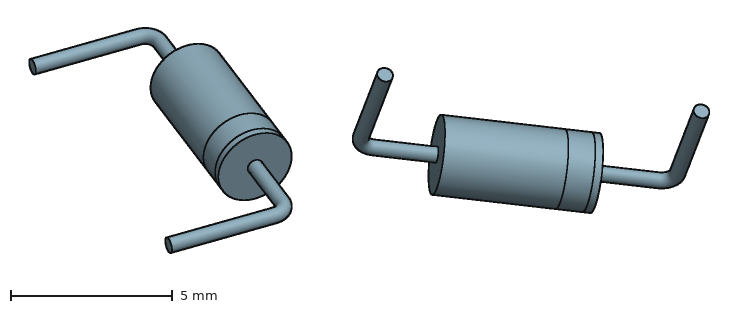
import cadquery as cq
import math

overall_length = 10.5
wire_diameter = 0.5
bend_radius = 0.5
leg_reach = 4.11
housing_diameter = 2.5
housing_length = 5.0
band_width = 0.85
band_end_gap = 0.25
band_thickness = 0.1

wire_radius = wire_diameter / 2
housing_radius = housing_diameter / 2
leg_x = overall_length / 2 - wire_radius
bend_start_x = leg_x - bend_radius
band_start_x = housing_length / 2 - band_end_gap - band_width


def rod(start_x, length, radius):
    """Solid cylinder on the X axis."""
    return cq.Workplane("YZ", origin=(start_x, 0, 0)).circle(radius).extrude(length)


def make_wire():
    """One round wire through the housing, with both ends bent towards -Y."""
    bend_mid_x = bend_start_x + bend_radius * math.sin(math.radians(45))
    bend_mid_y = -bend_radius * (1 - math.cos(math.radians(45)))
    path = (
        cq.Workplane("XY")
        .moveTo(-leg_x, -leg_reach)
        .lineTo(-leg_x, -bend_radius)
        .threePointArc((-bend_mid_x, bend_mid_y), (-bend_start_x, 0))
        .lineTo(bend_start_x, 0)
        .threePointArc((bend_mid_x, bend_mid_y), (leg_x, -bend_radius))
        .lineTo(leg_x, -leg_reach)
    )
    return cq.Workplane("XZ", origin=(-leg_x, -leg_reach, 0)).circle(wire_radius).sweep(path)


def make_band():
    """Polarity ring, flush with the outside of the housing."""
    inner_radius = housing_radius - band_thickness
    return rod(band_start_x, band_width, housing_radius).cut(rod(band_start_x, band_width, inner_radius))


def make_housing(band):
    """Cylinder with a bore for the wire and a groove for the band."""
    start_x = -housing_length / 2
    blank = rod(start_x, housing_length, housing_radius)
    bore = rod(start_x, housing_length, wire_radius)
    return blank.cut(bore).cut(band)


wire = make_wire()
band = make_band()
housing = make_housing(band)

result = cq.Compound.makeCompound([housing.val(), band.val(), wire.val()])